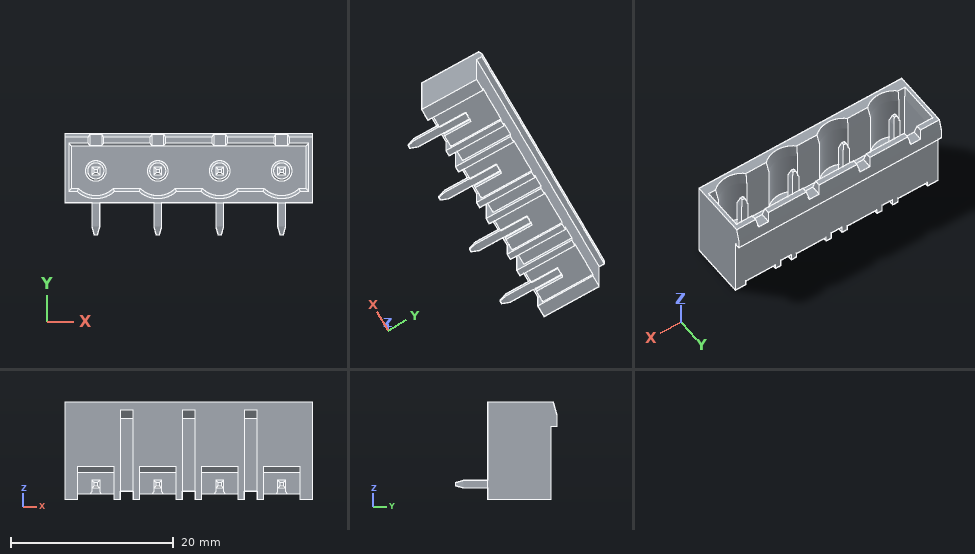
import cadquery as cq


pin_count = 4
pitch = 7.62
length = pin_count * pitch
height = 12.0
depth = 8.53
lip_overhang = 0.73
lip_height = 3.05
lip_chamfer_depth = 0.45
lip_chamfer_height = 1.62

floor_z = 3.6
end_wall = 0.8
front_wall = 1.77
back_wall = 1.55
lead_in = 0.37
end_lead_in = 0.3
lead_in_height = 1.6
scallop_bottom_radius = 3.05
scallop_top_radius = 3.4

boss_diameter = 2.53
boss_top_diameter = 1.98
boss_height = 1.22

notch_top_width = 1.92
notch_bottom_width = 1.45
notch_depth = 1.25

slot_width = 1.6
slot_depth = 1.0
slot_top_z = height - 1.0
slot_channel_height = 1.0
pocket_width = 4.45
pocket_depth = 0.7
pocket_top_z = 4.05
pocket_channel_height = 0.67

pin_width = 0.98
pin_tip_width = 0.4
pin_taper = 1.0
pin_y = 3.93
pin_top_z = height - 0.67
pin_front_y = -3.95
pin_z = 1.9

relief_flare_z = 1.0
relief_bottom_width = 1.35

pin_xs = [(i - (pin_count - 1) / 2) * pitch for i in range(pin_count)]
slot_xs = [x + pitch / 2 for x in pin_xs[:-1]]


def make_housing():
    """Block with an overhanging, chamfered lip along the top of the back."""
    body_depth = depth - lip_overhang
    return (
        cq.Workplane("YZ")
        .moveTo(0, 0)
        .lineTo(body_depth, 0)
        .lineTo(body_depth, height - lip_height)
        .lineTo(depth, height - lip_height)
        .lineTo(depth, height - lip_chamfer_height)
        .lineTo(depth - lip_chamfer_depth, height)
        .lineTo(0, height)
        .close()
        .extrude(length / 2, both=True)
    )


def make_cone(x, bottom_z, bottom_radius, top_radius, cone_height):
    """Upright cone frustum on the axis of a pin."""
    return cq.Workplane(
        cq.Solid.makeCone(bottom_radius, top_radius, cone_height, cq.Vector(x, pin_y, bottom_z))
    )


def make_cavity():
    """Rectangular cavity with a scallop in the front wall at each pin."""
    cavity_length = length - 2 * end_wall
    cavity_width = depth - front_wall - back_wall
    center_y = front_wall + cavity_width / 2
    lead_in_z = height - lead_in_height
    cavity = (
        cq.Workplane("XY", origin=(0, center_y, floor_z))
        .rect(cavity_length, cavity_width)
        .extrude(lead_in_z - floor_z)
    )
    mouth = (
        cq.Workplane("XY", origin=(0, center_y, lead_in_z))
        .rect(cavity_length, cavity_width)
        .workplane(offset=lead_in_height)
        .rect(cavity_length + 2 * end_lead_in, cavity_width + 2 * lead_in)
        .loft(ruled=True)
    )
    cavity = cavity.union(mouth)
    front_strip = cq.Workplane("XY").box(length, front_wall, height, centered=(True, False, False))
    for x in pin_xs:
        shaft = (
            cq.Workplane("XY", origin=(x, pin_y, floor_z))
            .circle(scallop_bottom_radius)
            .extrude(lead_in_z - floor_z)
        )
        flare = make_cone(x, lead_in_z, scallop_bottom_radius, scallop_top_radius, lead_in_height)
        cavity = cavity.union(shaft.union(flare).intersect(front_strip))
    return cavity


def make_notch(x):
    """Tapered notch through the top of the back wall."""
    return (
        cq.Workplane("XZ", origin=(x, pin_y, height))
        .moveTo(-notch_top_width / 2, 0)
        .lineTo(-notch_bottom_width / 2, -notch_depth)
        .lineTo(notch_bottom_width / 2, -notch_depth)
        .lineTo(notch_top_width / 2, 0)
        .close()
        .extrude(-depth)
    )


def make_front_recess(x, width, recess_depth, top_z, channel_height):
    """Front recess with a 45 degree ceiling, and a channel below it through to the back."""
    return (
        cq.Workplane("YZ", origin=(x, 0, 0))
        .moveTo(0, 0)
        .lineTo(0, top_z)
        .lineTo(recess_depth, top_z - recess_depth)
        .lineTo(recess_depth, channel_height)
        .lineTo(depth, channel_height)
        .lineTo(depth, 0)
        .close()
        .extrude(width / 2, both=True)
    )


def make_pin_relief(x):
    """Groove with a flared mouth below the pin, ending at its upright leg."""
    half_pin = pin_width / 2
    half_mouth = relief_bottom_width / 2
    return (
        cq.Workplane("XZ", origin=(x, 0, 0))
        .moveTo(-half_pin, pin_z)
        .lineTo(-half_pin, relief_flare_z)
        .lineTo(-half_mouth, pocket_channel_height)
        .lineTo(half_mouth, pocket_channel_height)
        .lineTo(half_pin, relief_flare_z)
        .lineTo(half_pin, pin_z)
        .close()
        .extrude(-(pin_y + half_pin))
    )


def make_pin_leg(start, direction, leg_length):
    """Square bar from a start point along a direction, ending in a blunt pyramid."""
    plane = cq.Plane(origin=start, xDir=(1, 0, 0), normal=direction)
    bar = cq.Workplane(plane).rect(pin_width, pin_width).extrude(leg_length - pin_taper)
    tip = (
        bar.faces(cq.selectors.DirectionMinMaxSelector(cq.Vector(*direction)))
        .workplane()
        .rect(pin_width, pin_width)
        .workplane(offset=pin_taper)
        .rect(pin_tip_width, pin_tip_width)
        .loft(ruled=True, combine=False)
    )
    return bar.union(tip)


def make_pin(x):
    """Pin standing in the cavity and bent forward out of the front face."""
    half_pin = pin_width / 2
    leg_bottom = pin_z - half_pin
    leg_back = pin_y + half_pin
    upright = make_pin_leg((x, pin_y, leg_bottom), (0, 0, 1), pin_top_z - leg_bottom)
    tail = make_pin_leg((x, leg_back, pin_z), (0, -1, 0), leg_back - pin_front_y)
    return upright.union(tail)


result = make_housing().cut(make_cavity())
for x in slot_xs:
    result = result.cut(make_front_recess(x, slot_width, slot_depth, slot_top_z, slot_channel_height))
for x in pin_xs:
    result = result.cut(make_front_recess(x, pocket_width, pocket_depth, pocket_top_z, pocket_channel_height))
    result = result.cut(make_notch(x))
    result = result.cut(make_pin_relief(x))
    result = result.union(make_cone(x, floor_z, boss_diameter / 2, boss_top_diameter / 2, boss_height))
    result = result.union(make_pin(x))